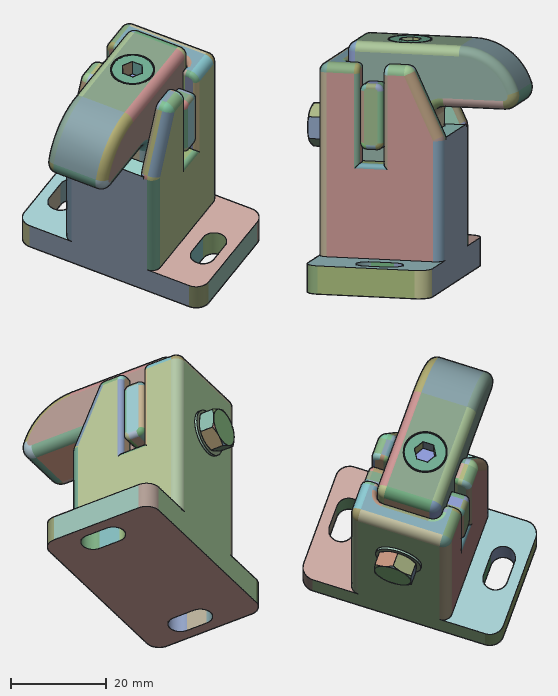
import cadquery as cq
import math


base_width = 44.0
base_depth = 27.0
base_height = 6.0
base_corner_radius = 3.0
mounting_slot_length = 10.1
mounting_slot_width = 5.2
mounting_slot_offset = 17.0
mounting_slot_y = -15.0

tower_width = 22.05
tower_top = 47.0
tower_top_depth = 20.0
lip_height = 32.05
edge_radius = 2.0
rim_radius = 1.0
slope_foot_radius = 2.3

hook_width = 14.0
hook_top = 51
hook_back = 5.1
hook_block_front = 23.0
pocket_floor = 26.0
clearance = 0.1
pocket_width = hook_width + 2 * clearance
pocket_back = hook_back - clearance
pocket_front = hook_block_front + clearance

nose_underside = 38.0
nose_radius = hook_top - nose_underside
nose_front = 42.0
nose_tip_radius = 3.0
throat_radius = 3.0

arm_back = 9.05
arm_front = 14.0
guide_slot_back = arm_back - clearance
guide_slot_front = arm_front + clearance
arm_bottom = 29.0
arm_top = 43.0
arm_corner_radius = 1.5
arm_end_radius = 1.0

screw_y = -17.05
screw_head_diameter = 8.75
screw_gap = 0.2
screw_gap_depth = 0.25
socket_across_flats = 4.1
socket_depth = 3.5

bolt_z = 31.95
washer_diameter = 10.0
washer_thickness = 0.5
bolt_across_flats = 8.0
bolt_end = 4.1
bolt_head_bevel = 0.3

CORNER_RATIO = 2 / math.sqrt(3)


def block(width, back, front, z_bottom, z_top):
    """A box centred on X = 0; back and front are distances from the back face."""
    return cq.Workplane("XY").box(width, front - back, z_top - z_bottom).translate(
        (0, -(back + front) / 2, (z_bottom + z_top) / 2)
    )


def side_extrusion(outline, width):
    """Extrude a closed YZ outline by the given width, centred on X = 0."""
    return outline.close().extrude(width / 2, both=True)


def box_between(corner, opposite_corner):
    """Selects the edges whose centres lie inside a box, with a small tolerance."""
    tolerance = 0.05
    margin = cq.Vector(tolerance, tolerance, tolerance)
    return cq.selectors.BoxSelector(cq.Vector(*corner) - margin, cq.Vector(*opposite_corner) + margin)


def make_base():
    base = block(base_width, 0, base_depth, 0, base_height)
    base = base.edges("|Z").fillet(base_corner_radius)
    slots = (
        cq.Workplane("XY")
        .pushPoints([(side * mounting_slot_offset, mounting_slot_y) for side in (-1, 1)])
        .slot2D(mounting_slot_length, mounting_slot_width, 90)
        .extrude(base_height)
    )
    return base.cut(slots)


def make_tower():
    """The tower with rounded outer edges, before the pocket is cut."""
    outline = (
        cq.Workplane("YZ")
        .moveTo(0, 0)
        .lineTo(0, tower_top)
        .lineTo(-tower_top_depth, tower_top)
        .lineTo(-base_depth, lip_height)
        .lineTo(-base_depth, 0)
    )
    tower = side_extrusion(outline, tower_width)
    slope_top = (0, -tower_top_depth, tower_top)
    slope_foot = (0, -base_depth, lip_height)
    tower = tower.edges(box_between(slope_top, slope_top)).fillet(edge_radius)
    tower = tower.edges(box_between(slope_foot, slope_foot)).fillet(slope_foot_radius)
    side_edges = tower.faces("<X or >X").edges("not <Z")
    back_top_edge = tower.faces(">Y").edges(">Z")
    return tower.newObject(side_edges.vals() + back_top_edge.vals()).fillet(edge_radius)


def make_hook_space():
    """The deep pocket for the hook block, the channel in front of it and the guide slots."""
    pocket = block(pocket_width, pocket_back, pocket_front, pocket_floor, hook_top)
    pocket = pocket.edges("|Z").fillet(edge_radius)
    channel_back = (pocket_back + pocket_front) / 2
    channel = block(pocket_width, channel_back, base_depth, lip_height, hook_top)
    guide_slots = block(tower_width, guide_slot_back, guide_slot_front, pocket_floor, hook_top)
    return pocket.union(channel).union(guide_slots)


def make_bolt():
    washer = cq.Workplane("XZ").center(0, bolt_z).circle(washer_diameter / 2).extrude(-washer_thickness)
    across_corners = bolt_across_flats * CORNER_RATIO
    head = (
        cq.Workplane("XZ")
        .workplane(offset=-washer_thickness)
        .center(0, bolt_z)
        .transformed(rotate=(0, 0, 30))
        .polygon(6, across_corners)
        .extrude(washer_thickness - bolt_end)
    )
    envelope = (
        cq.Workplane("XZ")
        .workplane(offset=-washer_thickness)
        .center(0, bolt_z)
        .circle(across_corners / 2)
        .extrude(washer_thickness - bolt_end)
        .faces("<Y or >Y")
        .chamfer(bolt_head_bevel, (across_corners - bolt_across_flats) / 2)
    )
    return washer.union(head.intersect(envelope))


def round_hook_space_rims(tower):
    """Round the edges where the channel and the guide slots break through the tower's surface."""
    half_pocket = pocket_width / 2
    half_tower = tower_width / 2
    channel_box = box_between(
        (-half_pocket, -base_depth, lip_height + rim_radius), (half_pocket, 0, tower_top)
    )
    rims = tower.edges(channel_box).edges("not |Z").vals()
    for side in (-1, 1):
        slot_box = box_between(
            (min(side * half_pocket, side * half_tower), -guide_slot_front, pocket_floor),
            (max(side * half_pocket, side * half_tower), -guide_slot_back, tower_top),
        )
        rims += tower.edges(slot_box).edges("not (|X and <Z)").vals()
    return tower.newObject(rims).fillet(rim_radius)


def make_lip():
    """The sharp front edge of the channel floor, between the rounded rims."""
    lip_width = pocket_width + 2 * rim_radius
    return block(lip_width, pocket_front, base_depth, base_height, lip_height)


def make_housing():
    tower = round_hook_space_rims(make_tower().cut(make_hook_space()))
    return tower.union(make_lip()).union(make_base()).union(make_bolt())


def make_hook_body():
    """Block and overhanging nose, with all edges above the pocket floor rounded."""
    tip_centre_y = nose_tip_radius - nose_front
    tip_centre_z = nose_underside + nose_tip_radius
    centre_distance = nose_radius - nose_tip_radius
    tip_angle = math.asin(nose_tip_radius / centre_distance)
    nose_centre_y = tip_centre_y + centre_distance * math.cos(tip_angle)

    def nose_point(angle):
        return (
            nose_centre_y - nose_radius * math.cos(angle),
            nose_underside + nose_radius * math.sin(angle),
        )

    def tip_point(angle):
        return (
            tip_centre_y - nose_tip_radius * math.cos(angle),
            tip_centre_z + nose_tip_radius * math.sin(angle),
        )

    throat_turn = throat_radius * (1 - math.sqrt(0.5))
    outline = (
        cq.Workplane("YZ")
        .moveTo(-hook_back, pocket_floor)
        .lineTo(-hook_back, hook_top)
        .lineTo(nose_centre_y, hook_top)
        .threePointArc(nose_point((tip_angle + math.pi / 2) / 2), nose_point(tip_angle))
        .threePointArc(tip_point((tip_angle - math.pi / 2) / 2), tip_point(-math.pi / 2))
        .lineTo(-hook_block_front - throat_radius, nose_underside)
        .threePointArc(
            (-hook_block_front - throat_turn, nose_underside - throat_turn),
            (-hook_block_front, nose_underside - throat_radius),
        )
        .lineTo(-hook_block_front, pocket_floor)
    )
    body = side_extrusion(outline, hook_width)
    side_edges = body.faces("<X or >X").edges("not <Z")
    back_top_edge = body.faces(">Z").edges(">Y")
    return body.newObject(side_edges.vals() + back_top_edge.vals()).fillet(edge_radius)


def make_arms():
    arms = block(tower_width, arm_back, arm_front, arm_bottom, arm_top)
    arms = arms.edges("|X").fillet(arm_corner_radius)
    return arms.faces("<X or >X").edges().fillet(arm_end_radius)


def make_screw_gap():
    """The narrow ring of air around the screw head."""
    head_radius = screw_head_diameter / 2
    return (
        cq.Workplane("XY", origin=(0, screw_y, hook_top - screw_gap_depth))
        .circle(head_radius + screw_gap)
        .circle(head_radius)
        .extrude(screw_gap_depth)
    )


def make_socket():
    return (
        cq.Workplane("XY", origin=(0, screw_y, hook_top - socket_depth))
        .polygon(6, socket_across_flats * CORNER_RATIO)
        .extrude(socket_depth)
    )


def make_hook():
    hook = make_hook_body().union(make_arms())
    return hook.cut(make_screw_gap()).cut(make_socket())


housing = make_housing()
hook = make_hook()
result = cq.Compound.makeCompound([housing.solids().val(), hook.solids().val()])